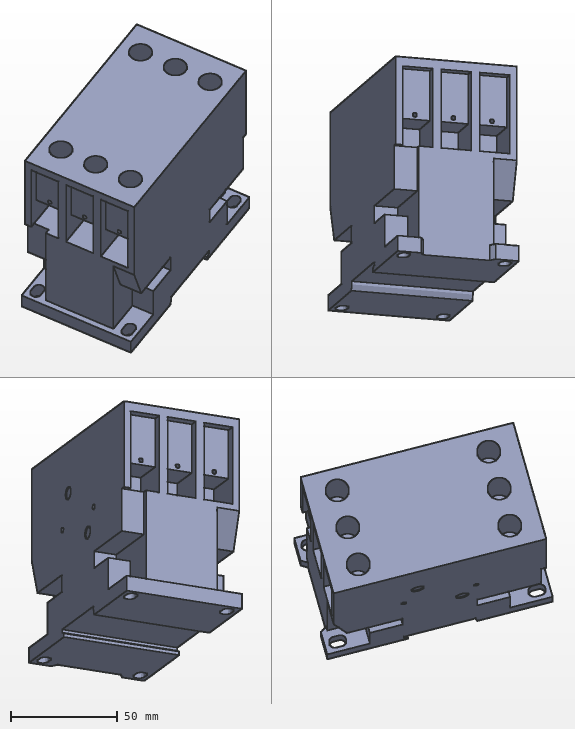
import cadquery as cq

WIDTH = 59.8
BASE_LENGTH = 110.0
HEIGHT = 96.0
BASE_HEIGHT = 7.5

BODY_LENGTH = 103.8
SIDE_RECESS_DEPTH = 11.4
STEP_HEIGHT = 23.3
STEP_HALF_LENGTH = 34.2
LEDGE_HEIGHT = 31.8
LEDGE_HALF_LENGTH = 18.3
NOTCH_DEPTH = 2.6
SLOPE_RUN = 6.5
SLOPE_TOP = 50.0

POLE_COUNT = 3
POLE_PITCH = 19.0
POCKET_WIDTH = 14.7
POCKET_TOP = 91.5
POCKET_STEP = 67.2
POCKET_FLOOR = 53.0
POCKET_UPPER_DEPTH = 4.6
POCKET_LOWER_DEPTH = 20.9
PIN_HOLE_DIAMETER = 2.0
PIN_HOLE_HEIGHT = 69.5
PIN_HOLE_DEPTH = 5.4

SCREW_HOLE_DIAMETER = 11.0
SCREW_HOLE_SPACING = 73.9
SCREW_HOLE_FLOOR = 70.0

SIDE_HOLE_DIAMETER = 2.4
SIDE_HOLE_SPACING = 35.2
SIDE_HOLE_HEIGHT = 54.2
SIDE_HOLE_DEPTH = 1.1
DISC_DIAMETER = 6.0
DISC_DEPTH = 0.5
DISC_OFFSET = 10.9
UPPER_DISC_HEIGHT = 70.5
LOWER_DISC_HEIGHT = 43.6

SLOT_WIDTH = 5.5
SLOT_LENGTH = 8.2
SLOT_SPACING_X = 49.9
SLOT_SPACING_Y = 97.2
TAB_TIP_WIDTH = 11.5
TAB_ROOT_WIDTH = 13.5
RAIL_DEPTH = 4.4
RAIL_BACK = 17.6
RAIL_FRONT = -17.5
HOOK_TIP = 15.6
HOOK_TIP_HEIGHT = 1.8
HOOK_ROOT_HEIGHT = 2.9
RAIL_LEAD_HEIGHT = 2.9
RAIL_LEAD_IN = 0.8

half_width = WIDTH / 2
half_base = BASE_LENGTH / 2
half_body = BODY_LENGTH / 2


def make_box(x_range, y_range, z_range):
    """Box spanning the given (low, high) ranges."""
    spans = [high - low for low, high in (x_range, y_range, z_range)]
    corner = (x_range[0], y_range[0], z_range[0])
    return cq.Workplane("XY").box(*spans, centered=False).translate(corner)


def turned(shape):
    """The shape turned half a turn about the vertical axis."""
    return shape.rotate((0, 0, 0), (0, 0, 1), 180)


def make_blank():
    base = make_box((-half_width, half_width), (-half_base, half_base), (0, BASE_HEIGHT))
    body = make_box((-half_width, half_width), (-half_body, half_body), (BASE_HEIGHT, HEIGHT))
    return base.union(body)


def make_side_recesses():
    """Corner recesses of the -X side: a notched one at -Y and a sloped one at +Y.

    The notch reaches up to the level of the pocket floors.
    """
    notched = [
        (-STEP_HALF_LENGTH, BASE_HEIGHT),
        (-STEP_HALF_LENGTH, STEP_HEIGHT),
        (-LEDGE_HALF_LENGTH, STEP_HEIGHT),
        (-LEDGE_HALF_LENGTH, LEDGE_HEIGHT),
        (NOTCH_DEPTH - half_body, LEDGE_HEIGHT),
        (NOTCH_DEPTH - half_body, POCKET_FLOOR),
        (-half_body, POCKET_FLOOR),
        (-half_body, BASE_HEIGHT),
    ]
    sloped = [
        (STEP_HALF_LENGTH, BASE_HEIGHT),
        (STEP_HALF_LENGTH, STEP_HEIGHT),
        (LEDGE_HALF_LENGTH, STEP_HEIGHT),
        (LEDGE_HALF_LENGTH, LEDGE_HEIGHT),
        (half_body - SLOPE_RUN, LEDGE_HEIGHT),
        (half_body, SLOPE_TOP),
        (half_body, BASE_HEIGHT),
    ]
    side = cq.Workplane("YZ", origin=(-half_width, 0, 0))
    recesses = side.polyline(notched).close().extrude(SIDE_RECESS_DEPTH)
    return recesses.union(side.polyline(sloped).close().extrude(SIDE_RECESS_DEPTH))


def make_terminal(x):
    """Stepped pocket, pin hole and screw hole of one pole at the -Y end."""
    x_range = (x - POCKET_WIDTH / 2, x + POCKET_WIDTH / 2)
    upper_back = POCKET_UPPER_DEPTH - half_body
    lower_back = POCKET_LOWER_DEPTH - half_body
    upper = make_box(x_range, (-half_body, upper_back), (POCKET_STEP, POCKET_TOP))
    lower = make_box(x_range, (-half_body, lower_back), (POCKET_FLOOR, POCKET_STEP))
    pin_hole = (
        cq.Workplane("XZ", origin=(x, upper_back, PIN_HOLE_HEIGHT))
        .circle(PIN_HOLE_DIAMETER / 2)
        .extrude(-PIN_HOLE_DEPTH)
    )
    screw_hole = (
        cq.Workplane("XY", origin=(x, -SCREW_HOLE_SPACING / 2, SCREW_HOLE_FLOOR))
        .circle(SCREW_HOLE_DIAMETER / 2)
        .extrude(HEIGHT - SCREW_HOLE_FLOOR)
    )
    return upper.union(lower).union(pin_hole).union(screw_hole)


def make_side_holes():
    """Two pin holes and two shallow round recesses in the -X side."""
    side = cq.Workplane("YZ", origin=(-half_width, 0, 0))
    pin_points = [(sign * SIDE_HOLE_SPACING / 2, SIDE_HOLE_HEIGHT) for sign in (-1, 1)]
    disc_points = [(DISC_OFFSET, UPPER_DISC_HEIGHT), (-DISC_OFFSET, LOWER_DISC_HEIGHT)]
    pins = side.pushPoints(pin_points).circle(SIDE_HOLE_DIAMETER / 2).extrude(SIDE_HOLE_DEPTH)
    discs = side.pushPoints(disc_points).circle(DISC_DIAMETER / 2).extrude(DISC_DEPTH)
    return pins.union(discs)


def make_mounting_slots():
    return (
        cq.Workplane("XY")
        .rarray(SLOT_SPACING_X, SLOT_SPACING_Y, 2, 2)
        .slot2D(SLOT_LENGTH, SLOT_WIDTH, 90)
        .extrude(BASE_HEIGHT)
    )


def make_tab_gap():
    """Tapered gap in the +Y edge of the base that leaves a tab at each corner."""
    tip_x = half_width - TAB_TIP_WIDTH
    root_x = half_width - TAB_ROOT_WIDTH
    outline = [(-tip_x, half_base), (tip_x, half_base), (root_x, half_body), (-root_x, half_body)]
    return cq.Workplane("XY").polyline(outline).close().extrude(BASE_HEIGHT)


def make_rail_channel():
    """Channel across the underside with a hooked +Y wall for a mounting rail."""
    outline = [
        (HOOK_TIP, 0),
        (HOOK_TIP, HOOK_TIP_HEIGHT),
        (RAIL_BACK, HOOK_ROOT_HEIGHT),
        (RAIL_BACK, RAIL_DEPTH),
        (RAIL_FRONT, RAIL_DEPTH),
        (RAIL_FRONT, RAIL_LEAD_HEIGHT),
        (RAIL_FRONT - RAIL_LEAD_IN, 0),
    ]
    channel = cq.Workplane("YZ").polyline(outline).close()
    return channel.extrude(half_width, both=True)


part = make_blank()

recesses = make_side_recesses()
part = part.cut(recesses).cut(turned(recesses))

for pole in range(POLE_COUNT):
    terminal = make_terminal((pole - (POLE_COUNT - 1) / 2) * POLE_PITCH)
    part = part.cut(terminal).cut(turned(terminal))

part = part.cut(make_side_holes())
part = part.cut(make_mounting_slots())
part = part.cut(make_tab_gap())
part = part.cut(make_rail_channel())

result = part